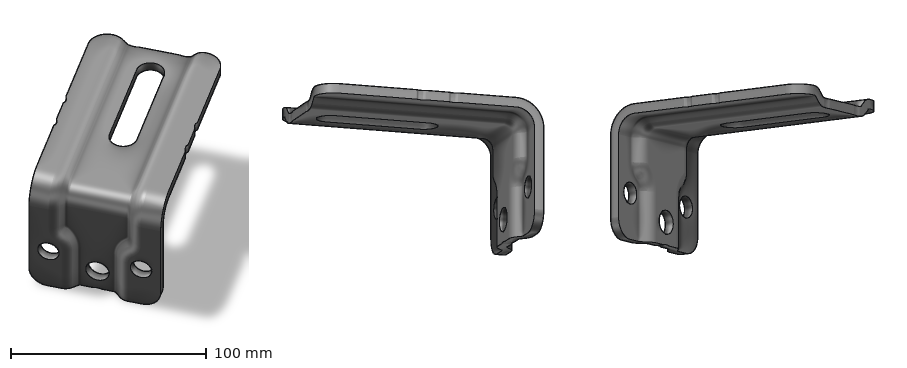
import cadquery as cq
import math

width = 70.0
length = 120.0
height = 67.9

thickness = 5.0
bend_radius = 15.0
corner_radius = 10.0

channel_depth = 5.0
wall_angle = math.radians(45)
flange_edge = 24.5
crest_radius = 7.1
root_radius = 2.0

neck_top = -27.8
neck_drop = 13.9
neck_shift = 7.0
neck_turn_radius = 1.5

slot_width = 14.5
slot_length = 64.7
slot_end_gap = 9.6
flange_hole_diameter = 11.3
flange_hole_x = 24.6
flange_hole_z = -43.9
center_hole_diameter = 12.4
center_hole_z = -55.9

notch_centers = (48.6, 66.0)
notch_floor = 1.9
notch_round = 1.2
notch_angle = math.radians(45)

nick_width = 4.8
nick_depth = 0.4
top_nick_x = 13.3

half_width = width / 2
rounding_sum = crest_radius + root_radius
wall_drop = channel_depth - rounding_sum * (1 - math.cos(wall_angle))
wall_run = wall_drop / math.tan(wall_angle) + rounding_sum * math.sin(wall_angle)
floor_edge = flange_edge - wall_run
neck_bottom = neck_top - neck_drop
neck_angle = 2 * math.atan(neck_shift / neck_drop)
upper_turn_x = floor_edge - neck_turn_radius
lower_turn_x = upper_turn_x + neck_drop / math.sin(neck_angle) - neck_shift


def long_leg_plane(y):
    """Section plane across the long leg; local y points out of the top face."""
    return cq.Plane((0, y, 0), (1, 0, 0), (0, -1, 0))


def upright_plane(z):
    """Section plane across the upright leg; local y points out of the front face."""
    return cq.Plane((0, 0, z), (1, 0, 0), (0, 0, -1))


def wall_points(level, crest, root):
    """Points of one wall face from floor to flange: root arc, slope, crest arc."""

    def on_root(angle):
        x = floor_edge + root * math.sin(angle)
        return x, level - channel_depth + root * (1 - math.cos(angle))

    def on_crest(angle):
        x = flange_edge - crest * math.sin(angle)
        return x, level - crest * (1 - math.cos(angle))

    half = wall_angle / 2
    root_arc = [on_root(0), on_root(half), on_root(wall_angle)]
    crest_arc = [on_crest(wall_angle), on_crest(half), on_crest(0)]
    return root_arc + crest_arc


def wall_section(plane, shift=0.0):
    """Closed section of one channel wall, moved inward by shift, without the flats."""
    upper = wall_points(0, crest_radius, root_radius)
    lower = wall_points(-thickness, crest_radius - thickness, root_radius + thickness)
    return (
        cq.Workplane(plane)
        .center(-shift, 0)
        .moveTo(*upper[0])
        .threePointArc(upper[1], upper[2])
        .lineTo(*upper[3])
        .threePointArc(upper[4], upper[5])
        .lineTo(*lower[5])
        .threePointArc(lower[4], lower[3])
        .lineTo(*lower[2])
        .threePointArc(lower[1], lower[0])
        .close()
    )


def flat_section(plane, x_start, x_end, level):
    """Closed section of a flat stretch of sheet with its outer face at level."""
    middle = ((x_start + x_end) / 2, level - thickness / 2)
    return cq.Workplane(plane).moveTo(*middle).rect(x_end - x_start, thickness)


def half_sections(plane, shift=0.0):
    """Sections of floor, wall and flange on the +X side, wall moved inward by shift."""
    x_floor = floor_edge - shift
    x_flange = flange_edge - shift
    floor = flat_section(plane, 0, x_floor, -channel_depth)
    flange = flat_section(plane, x_flange, half_width, 0)
    return [floor, wall_section(plane, shift), flange]


def join(solids):
    """Union of the given solids."""
    body = solids[0]
    for solid in solids[1:]:
        body = body.union(solid)
    return body


def neck_flat(x_straight, x_wall, front):
    """Flat sheet beside the swerving wall, from a straight side to the wall edge at x_wall."""
    upper_radius = x_wall - upper_turn_x
    lower_radius = lower_turn_x - (x_wall - neck_shift)

    def on_upper(angle):
        return upper_turn_x + upper_radius * math.cos(angle), neck_top - upper_radius * math.sin(angle)

    def on_lower(angle):
        return lower_turn_x - lower_radius * math.cos(angle), neck_bottom + lower_radius * math.sin(angle)

    half = neck_angle / 2
    return (
        cq.Workplane("XZ", origin=(0, front, 0))
        .moveTo(x_straight, neck_top)
        .lineTo(*on_upper(0))
        .threePointArc(on_upper(half), on_upper(neck_angle))
        .threePointArc(on_lower(half), on_lower(0))
        .lineTo(x_straight, neck_bottom)
        .close()
        .extrude(-thickness)
    )


def neck():
    """Stretch of the upright leg where the channel wall swerves inward."""
    degrees = math.degrees(neck_angle)
    upper_turn = wall_section(upright_plane(neck_top)).revolve(
        degrees, (upper_turn_x, 1.2), (upper_turn_x, 0)
    )
    axis_x = lower_turn_x + neck_shift
    lower_turn = wall_section(upright_plane(neck_bottom), neck_shift).revolve(
        degrees, (axis_x, 1.2), (axis_x, 0)
    )

    floor = neck_flat(0, floor_edge, channel_depth)
    flange = neck_flat(half_width, flange_edge, 0)
    return [upper_turn, lower_turn, floor, flange]


def formed_sheet():
    """Bent and channelled sheet with square corners."""
    long_leg = [part.extrude(length - bend_radius) for part in half_sections(long_leg_plane(length))]
    bend = [
        part.revolve(90, (0, -bend_radius), (1, -bend_radius))
        for part in half_sections(long_leg_plane(bend_radius))
    ]
    upright = [
        part.extrude(-bend_radius - neck_top)
        for part in half_sections(upright_plane(-bend_radius))
    ]
    tail = [
        part.extrude(height + neck_bottom)
        for part in half_sections(upright_plane(neck_bottom), neck_shift)
    ]
    half = join(long_leg + bend + upright + neck() + tail)
    return half.union(half.mirror("YZ")).clean()


def notch_cutter(y):
    """Cutter for a notch in the +X edge: rounded lips, rounded roots, flat floor."""
    lip = notch_round * math.sin(notch_angle)
    rise = notch_round * (1 - math.cos(notch_angle))
    half_floor = notch_floor / 2
    half_mouth = half_floor + 2 * lip
    middle_x = half_width - rise
    floor_x = half_width - 2 * rise
    return (
        cq.Workplane("XY")
        .moveTo(half_width, y - half_mouth)
        .radiusArc((middle_x, y - half_floor - lip), -notch_round)
        .radiusArc((floor_x, y - half_floor), notch_round)
        .lineTo(floor_x, y + half_floor)
        .radiusArc((middle_x, y + half_floor + lip), notch_round)
        .radiusArc((half_width, y + half_mouth), -notch_round)
        .close()
        .extrude(-thickness)
    )


def nick_cutter(plane, x, edge, inward):
    """Cutter for a shallow arc nick at x in a free end; inward is +1 or -1 along local y."""
    return (
        plane.moveTo(x - nick_width / 2, edge)
        .threePointArc((x, edge + inward * nick_depth), (x + nick_width / 2, edge))
        .close()
        .extrude(-channel_depth - thickness)
    )


def slot_cutter():
    """Cutter for the long slot, reaching through the channel floor."""
    center_y = length - slot_end_gap - slot_length / 2
    return (
        cq.Workplane("XY")
        .center(0, center_y)
        .slot2D(slot_length, slot_width, 90)
        .extrude(-channel_depth - thickness)
    )


def hole_cutter(x, z, diameter):
    """Cutter for a round hole through the upright leg."""
    return cq.Workplane("XZ").center(x, z).circle(diameter / 2).extrude(-channel_depth - thickness)


body = formed_sheet()

for side in (-half_width, half_width):
    for corner in ((side, length, -thickness / 2), (side, thickness / 2, -height)):
        body = body.edges(cq.NearestToPointSelector(corner)).fillet(corner_radius)

body = body.cut(slot_cutter())
body = body.cut(hole_cutter(0, center_hole_z, center_hole_diameter))
for hole_x in (-flange_hole_x, flange_hole_x):
    body = body.cut(hole_cutter(hole_x, flange_hole_z, flange_hole_diameter))

for notch_y in notch_centers:
    cutter = notch_cutter(notch_y)
    body = body.cut(cutter).cut(cutter.mirror("YZ"))

for nick_x in (-top_nick_x, top_nick_x):
    body = body.cut(nick_cutter(cq.Workplane("XY"), nick_x, length, -1))
body = body.cut(nick_cutter(cq.Workplane("XZ"), 0, -height, 1))

result = body